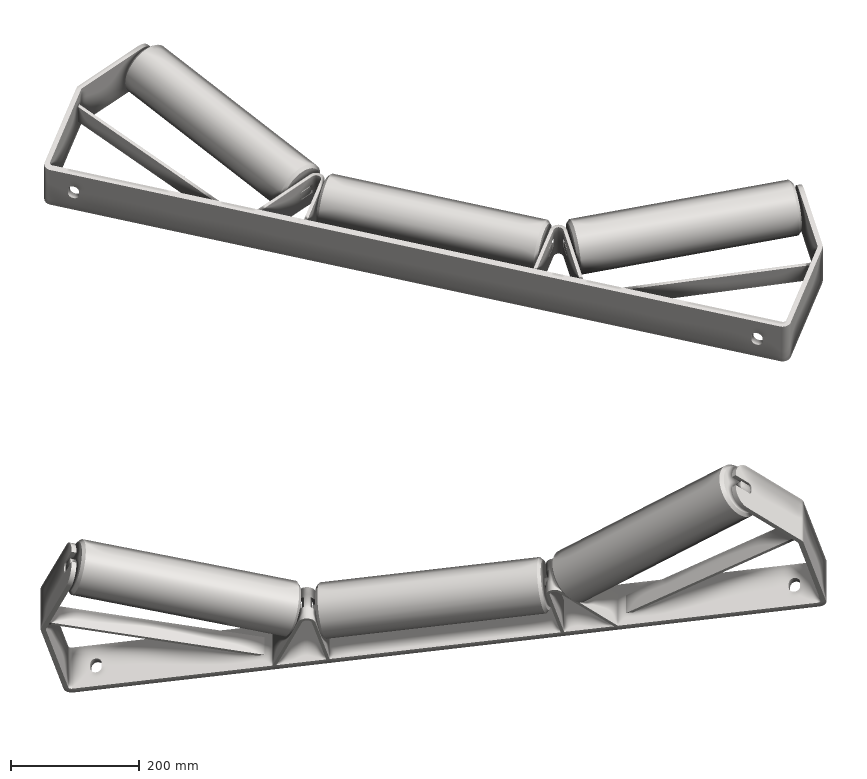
import cadquery as cq
import math


frame_length = 1210.0
strip_width = 76.0
base_thickness = 11.0
arm_thickness = 8.0
corner_radius = 13.0
arm_tip_y = 322.0
arm_tip_radius = 27.0

mount_slot_x = 554.0
mount_slot_width = 18.0
mount_slot_height = 25.0

trough_angle = 30.0
roller_diameter = 88.0
roller_length = 358.0
roller_chamfer = 5.0
support_span = 367.0
shaft_diameter = 23.0
shaft_flat_width = 15.0
side_roller_x = 374.0
side_roller_y = 205.0
middle_roller_y = 102.0
middle_roller_drop = 7.0

seat_width = 18.0
seat_depth = 73.0
seat_corner_radius = 6.0

bracket_thickness = 5.5
bracket_width = 58.0
fold_radius = 13.0

brace_thickness = 5.5
brace_height = 33.0
brace_start_x = 287.0
brace_end_y = 172.0

half_frame = frame_length / 2
half_span = support_span / 2
angle = math.radians(trough_angle)
cos_a = math.cos(angle)
sin_a = math.sin(angle)
side_shaft_tilt = math.degrees(math.asin(middle_roller_drop / support_span))


def mirrored(body):
    """Copy of a body on the other side of the middle plane."""
    return body.mirror("YZ")


def extruded_strip(points, height):
    """Plan outline extruded evenly about Z = 0."""
    return cq.Workplane("XY").polyline(points).close().extrude(height / 2, both=True)


def rounded_bends(strip, corners, radius):
    """Round the upright edges of a strip at the given plan corners."""
    for corner in corners:
        strip = strip.edges(cq.selectors.NearestToPointSelector((*corner, 0))).fillet(radius)
    return strip


def on_side_roller(body):
    """Move a body from a roller's own axes (shaft along X) to the -X side roller."""
    turned = body.rotate((0, 0, 0), (0, 0, 1), -trough_angle)
    return turned.translate((-side_roller_x, side_roller_y, 0))


def support_x(distance, y):
    """X, at a given y, of the line square to the side shaft and `distance` inward of the roller centre."""
    return -side_roller_x + (distance + (y - side_roller_y) * sin_a) / cos_a


def support_y(distance, x):
    """Y, at a given x, of the line square to the side shaft and `distance` inward of the roller centre."""
    return side_roller_y + ((x + side_roller_x) * cos_a - distance) / sin_a


def seat_cutter(start, thickness, drop):
    """Open slot for a shaft end through a plate that starts at `start` along the shaft."""
    slot = cq.Workplane("XY").box(thickness, seat_depth, seat_width, centered=(False, False, True))
    slot = slot.edges("|X and <Y").fillet(seat_corner_radius)
    return slot.translate((start, -shaft_diameter / 2, -drop))


def make_frame():
    side_inner_x = -half_frame + arm_thickness
    arm_outer = -half_span - arm_thickness
    arm_inner = -half_span
    outer_bend = (-half_frame, support_y(arm_outer, -half_frame))
    inner_bend = (side_inner_x, support_y(arm_inner, side_inner_x))
    inner_tip_y = arm_tip_y - arm_thickness * sin_a
    outline = [
        (0, 0),
        (-half_frame, 0),
        outer_bend,
        (support_x(arm_outer, arm_tip_y), arm_tip_y),
        (support_x(arm_inner, inner_tip_y), inner_tip_y),
        inner_bend,
        (side_inner_x, base_thickness),
        (0, base_thickness),
    ]
    half = extruded_strip(outline, strip_width)
    outer_corners = [(-half_frame, 0), outer_bend]
    inner_corners = [(side_inner_x, base_thickness), inner_bend]
    half = rounded_bends(half, outer_corners, corner_radius)
    half = rounded_bends(half, inner_corners, corner_radius - arm_thickness)
    tip_corners = cq.selectors.ParallelDirSelector(cq.Vector(cos_a, -sin_a, 0))
    half = half.edges(tip_corners).fillet(arm_tip_radius)
    half = half.cut(on_side_roller(seat_cutter(arm_outer, arm_thickness, 0)))
    mount_slot = (
        cq.Workplane("XZ")
        .center(-mount_slot_x, 0)
        .slot2D(mount_slot_height, mount_slot_width, 90)
        .extrude(-base_thickness)
    )
    half = half.cut(mount_slot)
    return half.union(mirrored(half))


def make_bracket():
    near = half_span
    far = half_span + bracket_thickness
    outer_fold = (-near, support_y(near, -near))
    inner_fold = (-far, support_y(far, -far))
    outline = [
        (-near, base_thickness),
        outer_fold,
        (support_x(near, base_thickness), base_thickness),
        (support_x(far, base_thickness), base_thickness),
        inner_fold,
        (-far, base_thickness),
    ]
    bracket = extruded_strip(outline, bracket_width)
    bracket = rounded_bends(bracket, [outer_fold], fold_radius)
    bracket = rounded_bends(bracket, [inner_fold], fold_radius - bracket_thickness)
    bracket = bracket.translate((0, 0, (bracket_width - strip_width) / 2))
    side_seat = on_side_roller(seat_cutter(near, bracket_thickness, middle_roller_drop))
    middle_seat = seat_cutter(-far, bracket_thickness, middle_roller_drop).translate((0, middle_roller_y, 0))
    return bracket.cut(side_seat).cut(middle_seat)


def make_brace():
    side_x = -half_frame + arm_thickness
    run = side_x + brace_start_x
    rise = brace_end_y - base_thickness
    length = math.hypot(run, rise)
    cut_along_base = brace_thickness * length / rise
    cut_along_side = brace_thickness * length / -run
    outline = [
        (-brace_start_x, base_thickness),
        (side_x, brace_end_y),
        (side_x, brace_end_y - cut_along_side),
        (-brace_start_x - cut_along_base, base_thickness),
    ]
    return extruded_strip(outline, brace_height)


def x_cylinder(diameter, length):
    return cq.Workplane("YZ").circle(diameter / 2).extrude(length).translate((-length / 2, 0, 0))


def make_roller(shaft_length):
    shell = x_cylinder(roller_diameter, roller_length).edges().chamfer(roller_chamfer)
    flats = cq.Workplane("XY").box(shaft_length, shaft_diameter, shaft_flat_width)
    shaft = x_cylinder(shaft_diameter, shaft_length).intersect(flats)
    return shell.union(shaft)


def make_side_roller():
    shaft_length = support_span + 2 * bracket_thickness
    roller = make_roller(shaft_length).rotate((0, 0, 0), (0, 1, 0), side_shaft_tilt)
    return on_side_roller(roller.translate((0, 0, -middle_roller_drop / 2)))


def make_middle_roller():
    shaft_length = support_span + 2 * bracket_thickness
    return make_roller(shaft_length).translate((0, middle_roller_y, -middle_roller_drop))


frame = make_frame()
middle_roller = make_middle_roller()
solids = [frame.val(), middle_roller.val()]
for body in (make_bracket(), make_brace(), make_side_roller()):
    solids += [body.val(), mirrored(body).val()]

result = cq.Compound.makeCompound(solids)